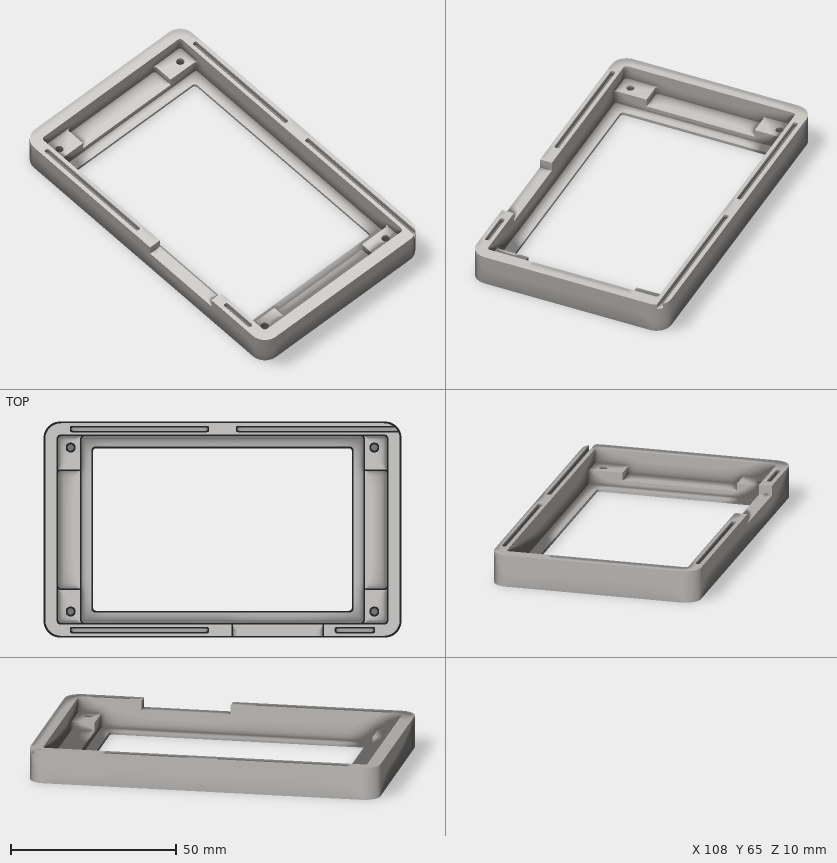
import cadquery as cq

length = 108.0
width = 65.0
height = 10.0
outer_radius = 5.0

wall = 4.0
inner_radius = 1.0
lip_thickness = 1.0
window_length = 78.8
window_width = 49.7
cavity_length = length - 2 * wall
cavity_width = width - 2 * wall
well_length = 85.8

shelf_height = 5.4
recess_depth = 2.6
recess_width = 36.1
hole_diameter = 2.5
hole_x = 46.0
hole_y = 24.8
hole_depth = shelf_height - lip_thickness

groove_width = 1.5
groove_depth = 1.6
groove_y = 30.5
groove_end_radius = 0.5
groove_outer_x = 46.0
groove_inner_x = 4.3
short_groove_inner_x = 34.2

notch_start_x = 3.0
notch_end_x = 30.5
notch_depth = 3.0


def rounded_block(size_x, size_y, bottom, top, radius):
    """Block centred on the Z axis with rounded vertical edges."""
    return (
        cq.Workplane("XY", origin=(0, 0, bottom))
        .rect(size_x, size_y)
        .extrude(top - bottom)
        .edges("|Z")
        .fillet(radius)
    )


def rim_groove(start_x, end_x, center_y):
    """Cutter for a straight groove in the top of a long wall."""
    bottom = height - groove_depth
    groove = rounded_block(end_x - start_x, groove_width, bottom, height, groove_end_radius)
    return groove.translate(((start_x + end_x) / 2, center_y, 0))


result = rounded_block(length, width, 0, height, outer_radius)
result = result.cut(rounded_block(cavity_length, cavity_width, shelf_height, height, inner_radius))
result = result.cut(rounded_block(well_length, cavity_width, lip_thickness, height, inner_radius))
result = result.cut(rounded_block(window_length, window_width, 0, height, inner_radius))

recess_bottom = shelf_height - recess_depth
result = result.cut(
    rounded_block(cavity_length, recess_width, recess_bottom, shelf_height, inner_radius)
)

holes = (
    cq.Workplane("XY", origin=(0, 0, shelf_height - hole_depth))
    .rect(2 * hole_x, 2 * hole_y, forConstruction=True)
    .vertices()
    .circle(hole_diameter / 2)
    .extrude(hole_depth)
)
result = result.cut(holes)

groove_spans = [
    (-groove_outer_x, -groove_inner_x, groove_y),
    (groove_inner_x, length / 2 + groove_width, groove_y),
    (-groove_outer_x, -groove_inner_x, -groove_y),
    (short_groove_inner_x, groove_outer_x, -groove_y),
]
for start_x, end_x, center_y in groove_spans:
    result = result.cut(rim_groove(start_x, end_x, center_y))

notch = cq.Workplane("XY").box(notch_end_x - notch_start_x, wall, notch_depth, centered=False)
result = result.cut(notch.translate((notch_start_x, -width / 2, height - notch_depth)))